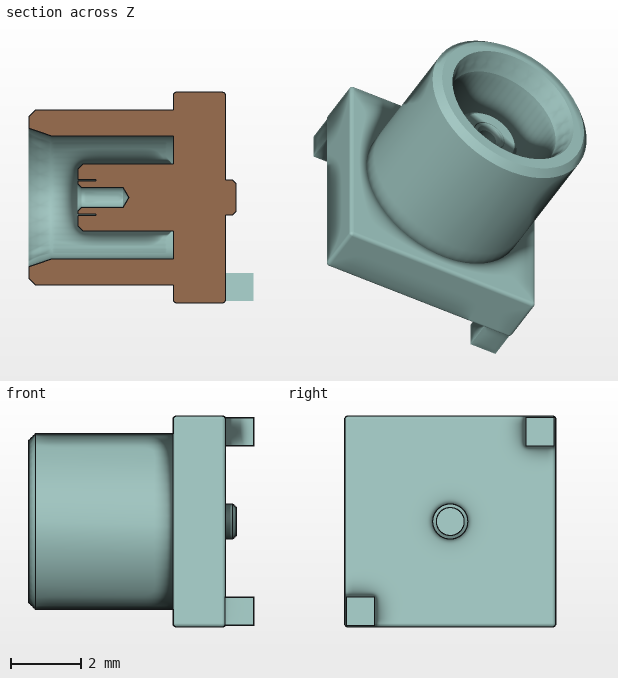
import cadquery as cq

TOTAL_LENGTH = 6.4
LEG_SIZE = 0.8
PLATE_THICKNESS = 1.5
PLATE_BACK = TOTAL_LENGTH - LEG_SIZE
PLATE_FRONT = PLATE_BACK - PLATE_THICKNESS

PLATE_SIDE = 6.0
PLATE_EDGE_RADIUS = 0.1

LEG_INSET = 0.05

BARREL_RADIUS = 5.0 / 2
BARREL_CHAMFER = 0.2
MOUTH_RADIUS = 1.965
BORE_RADIUS = 1.74
MOUTH_DEPTH = 0.65
BORE_DEPTH = PLATE_FRONT

BOSS_RADIUS = 0.96
BOSS_CHAMFER = 0.14
BOSS_FACE = 1.4

PIN_RADIUS = 0.5
PIN_GAP = 0.025
PIN_GAP_DEPTH = PIN_RADIUS
SOCKET_MOUTH_RADIUS = 0.38
SOCKET_RADIUS = 0.275
SOCKET_CHAMFER = SOCKET_MOUTH_RADIUS - SOCKET_RADIUS
SOCKET_DEPTH = 1.28
SOCKET_TIP = 0.16
TAIL_LENGTH = 0.3
TAIL_CHAMFER = 0.1

OVERLAP = 0.065


def revolve_about_axis(points):
    """Revolve an (x, radius) outline about the connector axis."""
    return cq.Workplane("XY").polyline(points).close().revolve(360, (0, 0, 0), (1, 0, 0))


def make_plate():
    plate = cq.Workplane("XY").box(PLATE_THICKNESS, PLATE_SIDE, PLATE_SIDE)
    plate = plate.edges().fillet(PLATE_EDGE_RADIUS)
    return plate.translate((PLATE_FRONT + PLATE_THICKNESS / 2, 0, 0))


def make_leg(side):
    """Square leg on the plate's Y = Z diagonal; side is +1 or -1."""
    length = LEG_SIZE + OVERLAP
    offset = side * (PLATE_SIDE / 2 - LEG_INSET - LEG_SIZE / 2)
    leg = cq.Workplane("XY").box(length, LEG_SIZE, LEG_SIZE)
    return leg.translate((TOTAL_LENGTH - length / 2, offset, offset))


def make_barrel():
    return revolve_about_axis([
        (0, MOUTH_RADIUS),
        (0, BARREL_RADIUS - BARREL_CHAMFER),
        (BARREL_CHAMFER, BARREL_RADIUS),
        (PLATE_FRONT + OVERLAP, BARREL_RADIUS),
        (PLATE_FRONT + OVERLAP, 0),
        (BORE_DEPTH, 0),
        (BORE_DEPTH, BORE_RADIUS),
        (MOUTH_DEPTH, BORE_RADIUS),
    ])


def make_boss():
    """Chamfered boss with the pin's socket and the fine ring gap around the pin."""
    socket_end = BOSS_FACE + SOCKET_DEPTH
    gap_floor = BOSS_FACE + PIN_GAP_DEPTH
    return revolve_about_axis([
        (socket_end + SOCKET_TIP, 0),
        (socket_end, SOCKET_RADIUS),
        (BOSS_FACE + SOCKET_CHAMFER, SOCKET_RADIUS),
        (BOSS_FACE, SOCKET_MOUTH_RADIUS),
        (BOSS_FACE, PIN_RADIUS - PIN_GAP),
        (gap_floor, PIN_RADIUS - PIN_GAP),
        (gap_floor, PIN_RADIUS),
        (BOSS_FACE, PIN_RADIUS),
        (BOSS_FACE, BOSS_RADIUS - BOSS_CHAMFER),
        (BOSS_FACE + BOSS_CHAMFER, BOSS_RADIUS),
        (BORE_DEPTH + OVERLAP, BOSS_RADIUS),
        (BORE_DEPTH + OVERLAP, 0),
    ])


def make_tail():
    tail_end = PLATE_BACK + TAIL_LENGTH
    return revolve_about_axis([
        (PLATE_BACK - OVERLAP, 0),
        (PLATE_BACK - OVERLAP, PIN_RADIUS),
        (tail_end - TAIL_CHAMFER, PIN_RADIUS),
        (tail_end, PIN_RADIUS - TAIL_CHAMFER),
        (tail_end, 0),
    ])


result = make_plate().union(make_barrel()).union(make_boss()).union(make_tail())
for leg_side in (1, -1):
    result = result.union(make_leg(leg_side))